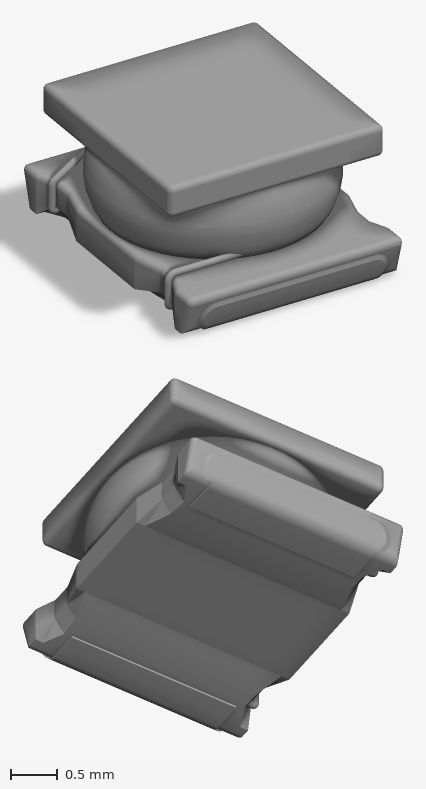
import cadquery as cq
import math

length = 3.5
width = 2.695
height = 1.7
edge_radius = 0.065

plate_thickness = 0.378
plate_bottom = height - plate_thickness

base_top = 0.508
pad_thickness = 0.025
foot_bottom = pad_thickness
slope_top = 0.427
end_angle = 16.0
foot_radius = 0.112
foot_inner_x = 1.47
middle_half_length = 0.61
middle_bottom = 0.1
end_slope = math.tan(math.radians(end_angle))
foot_outer_x = length / 2 - (slope_top - foot_bottom) * end_slope

notch_depth = 0.1
notch_outer_x = 1.45
notch_floor_outer_x = 1.218
notch_floor_inner_x = 0.965
notch_inner_x = middle_half_length
relief_top = 0.205
relief_run = 0.228
overcut = 0.035

pad_width = 2.362
pad_top = 0.392
pad_corner_radius = 0.195
pad_bevel = 0.052
pad_inner_x = 1.2
sole_width = pad_width - 2 * (pad_corner_radius - pad_bevel)
sole_height = 0.105

coil_end_radius = width / 2 - edge_radius
coil_radius = 1.4

wire_diameter = 0.08
wire_radius = wire_diameter / 2
wire_x = 1.215
wire_clearance = 0.005
wire_y = -width / 2 + notch_depth - wire_radius - wire_clearance
upright_bottom = relief_top
upright_top = 0.47
lower_bend_radius = 0.042
wire_foot_length = wire_diameter
rising_bend_radius = 0.08
level_bend_radius = 0.095
rising_end_x = -1.26
rising_end_y = -0.045
rising_angle = 31.0
level_end_y = 0.0


def make_plate():
    """Square plate with all its edges rounded."""
    plate = cq.Workplane("XY").box(width, width, plate_thickness, centered=(True, True, False))
    return plate.edges().fillet(edge_radius).translate((0, 0, plate_bottom))


def base_block(half_width):
    """Base side outline, carried across the given half width on both sides of the middle."""
    arch_mid_x = (foot_inner_x + middle_half_length) / 2
    arch_mid_z = foot_bottom + (middle_bottom - foot_bottom) / 4
    return (
        cq.Workplane("XZ")
        .moveTo(-length / 2, base_top)
        .lineTo(-length / 2, slope_top)
        .lineTo(-foot_outer_x, foot_bottom)
        .lineTo(-foot_inner_x, foot_bottom)
        .threePointArc((-arch_mid_x, arch_mid_z), (-middle_half_length, middle_bottom))
        .lineTo(middle_half_length, middle_bottom)
        .threePointArc((arch_mid_x, arch_mid_z), (foot_inner_x, foot_bottom))
        .lineTo(foot_outer_x, foot_bottom)
        .lineTo(length / 2, slope_top)
        .lineTo(length / 2, base_top)
        .close()
        .extrude(half_width, both=True)
    )


def in_four_quarters(shape):
    """Copies of a shape mirrored into all four quarters of the base."""
    pair = shape.union(shape.mirror("YZ"))
    return pair.union(pair.mirror("XZ"))


def notch():
    """Upright cut through the -X, -Y edge of the base."""
    side = -width / 2
    floor = side + notch_depth
    return (
        cq.Workplane("XY")
        .moveTo(-notch_outer_x, side)
        .lineTo(-notch_floor_outer_x, floor)
        .lineTo(-notch_floor_inner_x, floor)
        .lineTo(-notch_inner_x, side)
        .lineTo(-notch_inner_x, side - overcut)
        .lineTo(-notch_outer_x, side - overcut)
        .close()
        .extrude(base_top + overcut)
    )


def relief_section(y, drop):
    """Outline of the relief under a notch, moved down by drop."""
    floor_z = -overcut - drop
    return cq.Wire.makePolygon(
        [
            cq.Vector(-notch_outer_x, y, foot_bottom - drop),
            cq.Vector(-notch_floor_outer_x, y, relief_top - drop),
            cq.Vector(-notch_floor_inner_x, y, relief_top - drop),
            cq.Vector(-notch_inner_x, y, middle_bottom - drop),
            cq.Vector(-notch_inner_x, y, floor_z),
            cq.Vector(-notch_outer_x, y, floor_z),
        ],
        close=True,
    )


def relief():
    """Wedge under the notch, as high as its walls at the side and running out inward."""
    side = -width / 2
    floor = side + notch_depth
    outer = cq.Solid.makeLoft([relief_section(side - overcut, 0), relief_section(floor, 0)], True)
    fade = cq.Solid.makeLoft(
        [relief_section(floor, 0), relief_section(side + relief_run, relief_top - foot_bottom)], True
    )
    return cq.Workplane(outer).union(cq.Workplane(fade))


def pad_end(end_plane):
    """Rounded slot shape on the sloping end, its border bevelled down to the base."""
    stretch = 1 / math.cos(math.radians(end_angle))
    up = (pad_top / 2 - slope_top) * stretch
    slot_height = pad_top * stretch
    bevel_angle = math.degrees(math.atan(pad_bevel / pad_thickness))
    sketch = cq.Sketch().rect(pad_width, slot_height).vertices().fillet(pad_corner_radius)
    outline = cq.Workplane(end_plane).center(0, up).placeSketch(sketch)
    return outline.extrude(pad_thickness, taper=bevel_angle)


def round_feet(block):
    """Round the edges where the sloping ends meet the feet."""
    reach = foot_bottom / 2
    for side in (-1, 1):
        foot_edge = cq.selectors.BoxSelector(
            (side * foot_outer_x - reach, -width, foot_bottom - reach),
            (side * foot_outer_x + reach, width, foot_bottom + reach),
        )
        block = block.edges(foot_edge).fillet(foot_radius)
    return block


def round_corners(block):
    """Round the four corners of the base, along the upright and sloping edges of its ends."""
    for side in (-1, 1):
        corners = cq.selectors.BoxSelector(
            (side * foot_outer_x, -width, foot_bottom),
            (side * length, width, base_top),
        )
        block = block.edges("not |Y").edges(corners).fillet(edge_radius)
    return block


def grown_base(half_width):
    """Base side outline grown by the pad thickness all round."""
    outline = round_feet(base_block(half_width)).faces(">Y").wires().toPending()
    grown = outline.workplane(origin=(0, half_width, 0)).offset2D(pad_thickness)
    return grown.extrude(-2 * half_width)


def make_pad():
    """Terminal pad on the -X end, reaching under the foot."""
    lean = math.radians(end_angle)
    end_plane = cq.Plane(
        origin=(-length / 2, 0, slope_top), xDir=(0, -1, 0), normal=(-math.cos(lean), 0, -math.sin(lean))
    )
    layer = grown_base(pad_width / 2)
    sole = (
        cq.Workplane("XY")
        .box(length / 2 - pad_inner_x, sole_width, sole_height, centered=(False, True, False))
        .translate((-length / 2, 0, 0))
    )
    return layer.intersect(pad_end(end_plane)).union(layer.intersect(sole))


def make_base():
    """Base with rounded edges, wire notches and terminal pads."""
    block = base_block(width / 2)
    base = round_corners(block).intersect(round_feet(block))
    base = base.cut(in_four_quarters(notch()))
    base = base.faces(">Z").edges().fillet(edge_radius)
    base = base.cut(in_four_quarters(relief()))
    pad = make_pad()
    return base.union(pad).union(pad.mirror("YZ"))


def make_coil():
    """Barrel filling the space between base and plate."""
    return (
        cq.Workplane("XZ")
        .moveTo(0, base_top)
        .lineTo(coil_end_radius, base_top)
        .threePointArc((coil_radius, (base_top + plate_bottom) / 2), (coil_end_radius, plate_bottom))
        .lineTo(0, plate_bottom)
        .close()
        .revolve(360, (0, 0, 0), (0, 1, 0))
    )


def make_wire(side, bend_radius, rise_angle, end_x, end_y):
    """Wire from under the base, up through a notch, then bent over and into the coil.

    The upper part lies in the upright plane that runs from the notch to (end_x, end_y).
    """
    start_x = side * wire_x
    heading = cq.Vector(end_x - start_x, end_y - wire_y, 0).normalized()
    run = math.hypot(end_x - start_x, end_y - wire_y)
    rise = math.radians(rise_angle)

    def point(along, z):
        """Point in the plane of the upper part, a distance along its heading."""
        return cq.Vector(start_x, wire_y, z) + heading * along

    def bend_point(angle):
        """Point on the upper bend, at an angle from its start."""
        return point(bend_radius * (1 - math.cos(angle)), upright_top + bend_radius * math.sin(angle))

    bend_angle = math.pi / 2 - rise
    bend_end = bend_point(bend_angle)
    bend_run = bend_radius * (1 - math.cos(bend_angle))
    end_z = bend_end.z + (run - bend_run) * math.tan(rise)

    half_bend = lower_bend_radius * math.sqrt(0.5)
    foot_y = wire_y + lower_bend_radius
    foot_z = upright_bottom - lower_bend_radius
    foot_end = cq.Vector(start_x, foot_y + wire_foot_length, foot_z)
    foot_start = cq.Vector(start_x, foot_y, foot_z)
    lower_mid = cq.Vector(start_x, foot_y - half_bend, upright_bottom - half_bend)

    path = cq.Wire.assembleEdges(
        [
            cq.Edge.makeLine(foot_end, foot_start),
            cq.Edge.makeThreePointArc(foot_start, lower_mid, point(0, upright_bottom)),
            cq.Edge.makeLine(point(0, upright_bottom), point(0, upright_top)),
            cq.Edge.makeThreePointArc(point(0, upright_top), bend_point(bend_angle / 2), bend_end),
            cq.Edge.makeLine(bend_end, point(run, end_z)),
        ]
    )
    section = cq.Plane(origin=foot_end.toTuple(), xDir=(1, 0, 0), normal=(0, -1, 0))
    return cq.Workplane(section).circle(wire_radius).sweep(cq.Workplane(path))


plate = make_plate()
wires = [
    make_wire(-1, rising_bend_radius, rising_angle, rising_end_x, rising_end_y),
    make_wire(1, level_bend_radius, 0, wire_x, level_end_y),
]
base = make_base()
coil = make_coil()
for wire in wires:
    base = base.cut(wire)
    coil = coil.cut(wire)

bodies = [plate, base, coil, *wires]
result = cq.Compound.makeCompound([solid for body in bodies for solid in body.solids().vals()])